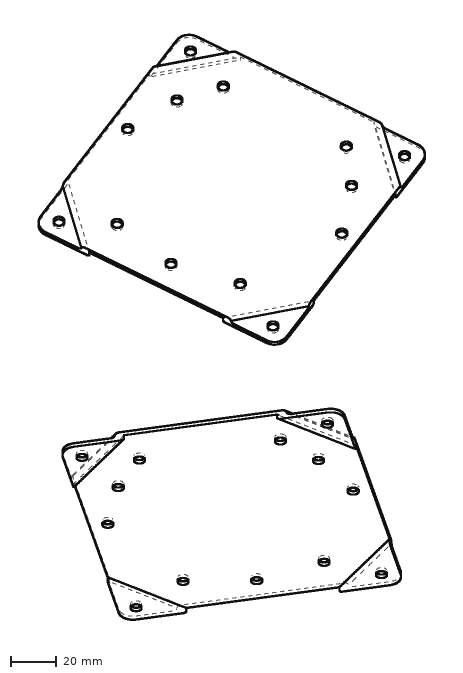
import cadquery as cq
import math

side = 127.0
height = 4.7
sheet = 2.0
corner_radius = 6.4
hole_diameter = 5.0

bend_top_start = 16.1
bend_width = 2.9
bend_angle = math.radians(85)
bend_underside = 20.6
underside_radius = 1.0

corner_hole_offset = 55.2
paired_holes = [(31.8, 44.6), (45.1, 27.3), (55.2, 2.5), (31.8, -44.6)]
single_hole = (0.0, -51.0)

step = height - sheet
bend_radius = (
    (bend_width * math.sin(bend_angle) - step * math.cos(bend_angle)) / (2 * (1 - math.cos(bend_angle)))
)
corner_distance = side / math.sqrt(2)


def plate_blank():
    """Square block with rounded vertical corners, standing on Z = 0."""
    blank = cq.Workplane("XY").box(side, side, height, centered=(True, True, False))
    return blank.edges("|Z").fillet(corner_radius)


def across_corner(profile, angle):
    """Extrude a diagonal-versus-height profile across the corner at the given angle."""
    return profile.extrude(side / 2, both=True).rotate((0, 0, 0), (0, 0, 1), angle)


def space_above_corner():
    """Profile of the space over a lowered corner, ending in an S-shaped bend."""
    flange_end = corner_distance - bend_top_start
    plate_end = flange_end - bend_width

    def arc_offset(angle):
        """Run and rise from the flat end of a bend arc after turning by the angle."""
        return bend_radius * math.sin(angle), bend_radius * (1 - math.cos(angle))

    half_run, half_rise = arc_offset(bend_angle / 2)
    full_run, full_rise = arc_offset(bend_angle)
    return (
        cq.Workplane("XZ")
        .moveTo(corner_distance, sheet)
        .lineTo(flange_end, sheet)
        .threePointArc((flange_end - half_run, sheet + half_rise), (flange_end - full_run, sheet + full_rise))
        .lineTo(plate_end + full_run, height - full_rise)
        .threePointArc((plate_end + half_run, height - half_rise), (plate_end, height))
        .lineTo(corner_distance, height)
        .close()
    )


def corner_foot():
    """Profile of the lower layer kept under a corner, with a rounded inner edge."""
    inner = corner_distance - bend_underside
    blend = underside_radius * (1 - math.sqrt(0.5))
    return (
        cq.Workplane("XZ")
        .moveTo(corner_distance, 0)
        .lineTo(inner + underside_radius, 0)
        .threePointArc((inner + blend, blend), (inner, underside_radius))
        .lineTo(inner, step)
        .lineTo(corner_distance, step)
        .close()
    )


blank = plate_blank()
body = blank.intersect(cq.Workplane("XY").box(side, side, sheet).translate((0, 0, height - sheet / 2)))
for corner_angle in (45, 135, 225, 315):
    foot = across_corner(corner_foot(), corner_angle)
    body = body.union(blank.intersect(foot))
    body = body.cut(across_corner(space_above_corner(), corner_angle))

hole_points = [single_hole]
for sign in (-1, 1):
    hole_points += [(sign * x, y) for x, y in paired_holes]
    hole_points += [(sign * corner_hole_offset, y) for y in (-corner_hole_offset, corner_hole_offset)]
holes = cq.Workplane("XY").pushPoints(hole_points).circle(hole_diameter / 2).extrude(height)

result = body.cut(holes)